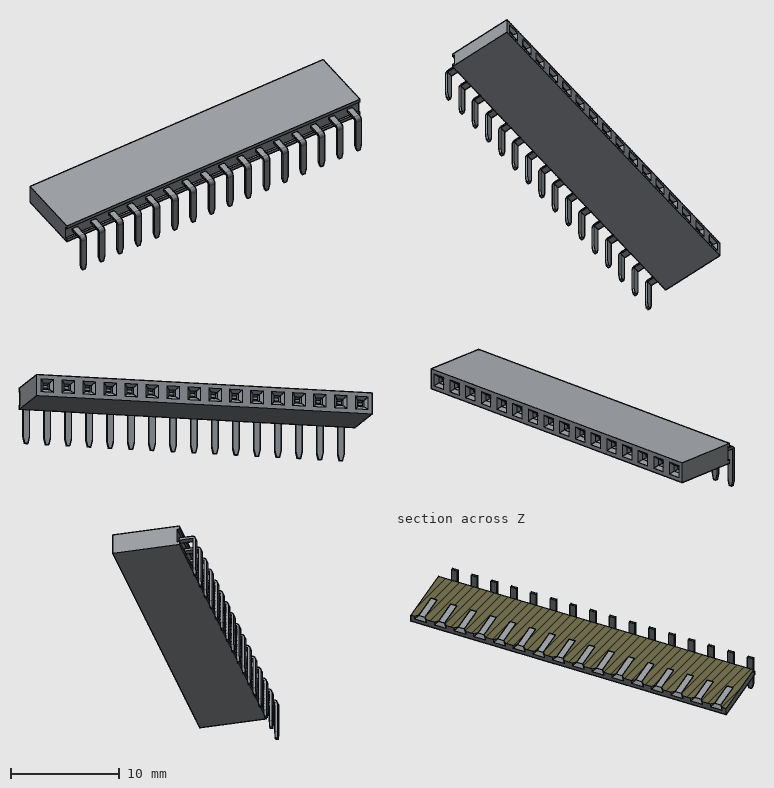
import cadquery as cq

pin_count = 16
pitch = 2.0
overall_depth = 7.72
overall_height = 4.9

body_depth = 6.35
body_width = pin_count * pitch
body_height = 2.0
rear_groove_depth = 0.2
rear_groove_height = 1.3

mouth_size = 1.2
bore_size = 0.6
funnel_depth = (mouth_size - bore_size) / 2
bore_depth = 3.0

pin_width = 0.6
pin_thickness = 0.25
pin_center_z = 0.025
contact_recess = 0.7
contact_width = 0.5
bend_outer_radius = 0.375
tip_width = 0.3
tip_length = 0.6

leg_bottom = body_height / 2 - overall_height
pin_top = pin_center_z + pin_thickness / 2
pin_positions = [(i - (pin_count - 1) / 2) * pitch for i in range(pin_count)]


def make_housing():
    """Rectangular bar with a shallow groove along its rear face."""
    bar = cq.Workplane("XY").box(body_depth, body_width, body_height, centered=(False, True, True))
    groove = (
        cq.Workplane("XY")
        .box(rear_groove_depth, body_width, rear_groove_height, centered=(False, True, True))
        .translate((body_depth - rear_groove_depth, 0, 0))
    )
    return bar.cut(groove)


def make_socket(y):
    """Cavity of one socket: a tapered mouth leading into a square bore."""
    funnel = (
        cq.Workplane("YZ", origin=(0, y, 0))
        .rect(mouth_size, mouth_size)
        .workplane(offset=funnel_depth)
        .rect(bore_size, bore_size)
        .loft(ruled=True)
    )
    bore = cq.Workplane("YZ", origin=(0, y, 0)).rect(bore_size, bore_size).extrude(bore_depth)
    return funnel.union(bore)


def make_pin(y):
    """Flat strip from the socket to a leg bent down at the rear.

    The leg tapers at its tip, and the part inside the bore is narrower than the rest.
    """
    strip = (
        cq.Workplane("XZ", origin=(0, y, 0))
        .moveTo(contact_recess, pin_top)
        .lineTo(overall_depth - bend_outer_radius, pin_top)
        .radiusArc((overall_depth, pin_top - bend_outer_radius), bend_outer_radius)
        .lineTo(overall_depth, leg_bottom)
        .lineTo(overall_depth - pin_thickness, leg_bottom)
        .lineTo(overall_depth - pin_thickness, pin_top - pin_thickness)
        .lineTo(contact_recess, pin_top - pin_thickness)
        .close()
        .extrude(pin_width / 2, both=True)
    )
    width_outline = (
        cq.Workplane("YZ", origin=(0, y, 0))
        .moveTo(-tip_width / 2, leg_bottom)
        .lineTo(tip_width / 2, leg_bottom)
        .lineTo(pin_width / 2, leg_bottom + tip_length)
        .lineTo(pin_width / 2, pin_top)
        .lineTo(-pin_width / 2, pin_top)
        .lineTo(-pin_width / 2, leg_bottom + tip_length)
        .close()
        .extrude(overall_depth)
    )
    side_trims = (
        cq.Workplane("YZ", origin=(0, y, 0))
        .rect(pin_width, bore_size)
        .rect(contact_width, bore_size)
        .extrude(bore_depth)
    )
    return strip.intersect(width_outline).cut(side_trims)


result = make_housing()
for position in pin_positions:
    result = result.cut(make_socket(position))
for position in pin_positions:
    result = result.union(make_pin(position))